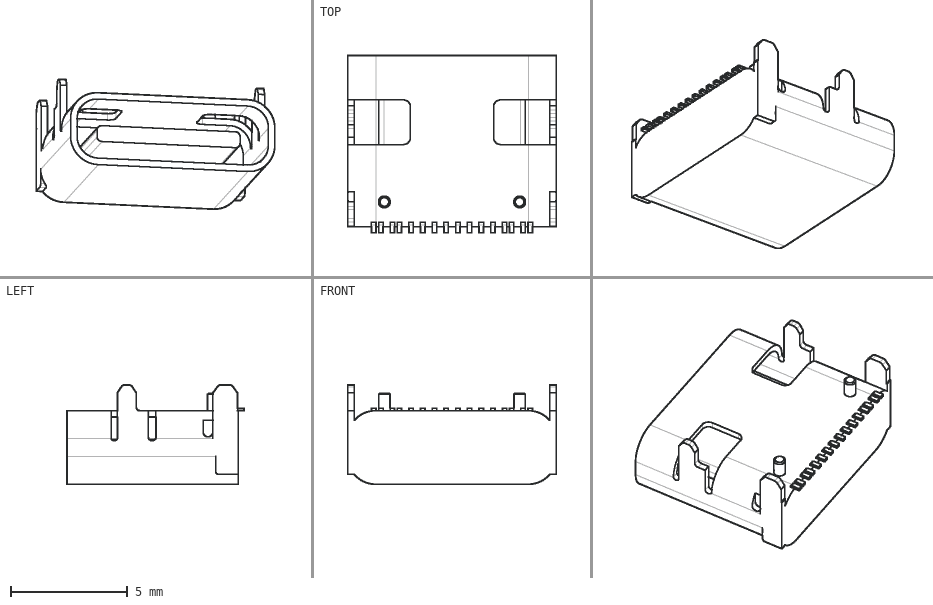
import cadquery as cq
import math


shell_width = 8.94
shell_height = 3.165
shell_depth = 7.35
corner_radius = 1.2
wall = 0.29
mid_height = shell_height / 2
half_width = shell_width / 2
cavity_depth = 5.36

tongue_width = 6.26
tongue_thickness = 0.7
tongue_edge_radius = 0.21
tongue_recess = 0.89

tab_height = shell_height + 1.1
tab_chamfer_height = 0.34
tab_crown_radius = 0.18

rear_tab_depth = 1.09
rear_tab_foot_depth = 0.97
rear_tab_foot_z = 0.43
rear_tab_foot_radius = 0.13
rear_tab_setback = 0.04
rear_tab_chamfer = 0.25
relief_width = 0.42
relief_bottom_z = shell_height - 1.13

window_rear_y = 3.53
window_front_y = 5.44
window_inner_x = 1.78
window_corner_radius = 0.3
window_slot_bottom_z = shell_height - 1.3
middle_tab_front_y = 5.185
middle_tab_depth = 0.81
middle_tab_chamfer = 0.22
shoulder_rear_y = 3.85
shoulder_radius = 0.15

peg_radius = 0.25
peg_height = 0.75
peg_chamfer = 0.06
peg_x = 2.9
peg_y = 1.07

tail_width = 0.2
tail_thickness = 0.11
tail_overhang = 0.25
tail_inset = 0.2
tail_bend_radius = 0.1
tail_pitch = 0.5
single_tail_count = 4
paired_tail_centers = (2.405, 3.2)
paired_tail_offset = 0.15


def rounded_bar(width, height, radius, start_y, end_y):
    """Bar along Y, centred on the shell axis, with its four long edges rounded."""
    bar = cq.Workplane("XY").box(width, end_y - start_y, height)
    bar = bar.edges("|Y").fillet(radius)
    return bar.translate((0, (start_y + end_y) / 2, mid_height))


def both_sides(right_half):
    """The given +X feature together with its mirror image on the -X side."""
    return right_half.union(right_half.mirror("YZ"))


def side_plate(outline):
    """Plate of wall thickness inside the +X side, from an outline in Y and Z."""
    return outline.close().extrude(-wall)


def side_plane():
    """Sketch plane on the outer +X face, with Y across and Z up."""
    return cq.Workplane("YZ", origin=(half_width, 0, 0))


def add_crown(outline, rear_y, front_y, chamfer):
    """Continue an outline over a tab top, from its front edge to its rear edge."""
    slope = math.atan2(tab_chamfer_height, chamfer)
    half_slope = slope / 2
    tangent = tab_crown_radius * math.tan(half_slope)
    shoulder_z = tab_height - tab_chamfer_height
    blend_dy = tangent * math.cos(slope)
    blend_z = tab_height - tangent * math.sin(slope)
    arc_dy = tab_crown_radius * math.sin(half_slope)
    arc_z = tab_height - tab_crown_radius * (1 - math.cos(half_slope))
    front_top = front_y - chamfer
    rear_top = rear_y + chamfer
    return (
        outline.lineTo(front_y, shoulder_z)
        .lineTo(front_top + blend_dy, blend_z)
        .threePointArc((front_top - tangent + arc_dy, arc_z), (front_top - tangent, tab_height))
        .lineTo(rear_top + tangent, tab_height)
        .threePointArc((rear_top + tangent - arc_dy, arc_z), (rear_top - blend_dy, blend_z))
        .lineTo(rear_y, shoulder_z)
    )


def make_shell():
    """Rounded body, hollow from the mouth and solid behind the cavity."""
    body = rounded_bar(shell_width, shell_height, corner_radius, 0, shell_depth)
    cavity = rounded_bar(
        shell_width - 2 * wall,
        shell_height - 2 * wall,
        corner_radius - wall,
        shell_depth - cavity_depth,
        shell_depth,
    )
    return body.cut(cavity)


def make_tongue():
    return rounded_bar(
        tongue_width,
        tongue_thickness,
        tongue_edge_radius,
        shell_depth - cavity_depth,
        shell_depth - tongue_recess,
    )


def make_window_cutters():
    """Openings through the upper half of the shell, rounded at their inner corners."""
    opening = (
        cq.Workplane("XY", origin=(0, 0, mid_height))
        .moveTo(window_inner_x, window_rear_y)
        .lineTo(half_width, window_rear_y)
        .lineTo(half_width, window_front_y)
        .lineTo(window_inner_x, window_front_y)
        .close()
        .extrude(mid_height)
    )
    return both_sides(opening.edges("|Z and <X").fillet(window_corner_radius))


def make_middle_tabs():
    """Side walls inside the windows: a shouldered tab between two round-bottomed slots."""
    front_slot_radius = (window_front_y - middle_tab_front_y) / 2
    rear_slot_radius = (shoulder_rear_y - window_rear_y) / 2
    tab_rear_y = middle_tab_front_y - middle_tab_depth
    front_slot_z = window_slot_bottom_z + front_slot_radius
    rear_slot_z = window_slot_bottom_z + rear_slot_radius
    bend = shoulder_radius * (1 - math.sqrt(0.5))

    outline = (
        side_plane()
        .moveTo(window_rear_y, mid_height)
        .lineTo(window_front_y, mid_height)
        .lineTo(window_front_y, front_slot_z)
        .threePointArc(
            (window_front_y - front_slot_radius, window_slot_bottom_z),
            (middle_tab_front_y, front_slot_z),
        )
    )
    outline = add_crown(outline, tab_rear_y, middle_tab_front_y, middle_tab_chamfer)
    outline = (
        outline.lineTo(tab_rear_y, shell_height + shoulder_radius)
        .threePointArc(
            (tab_rear_y - bend, shell_height + bend),
            (tab_rear_y - shoulder_radius, shell_height),
        )
        .lineTo(shoulder_rear_y, shell_height)
        .lineTo(shoulder_rear_y, rear_slot_z)
        .threePointArc(
            (shoulder_rear_y - rear_slot_radius, window_slot_bottom_z),
            (window_rear_y, rear_slot_z),
        )
    )
    return both_sides(side_plate(outline))


def make_rear_tabs():
    bend = rear_tab_foot_radius * (1 - math.sqrt(0.5))
    outline = (
        side_plane()
        .moveTo(0, rear_tab_foot_z)
        .lineTo(rear_tab_foot_depth - rear_tab_foot_radius, rear_tab_foot_z)
        .threePointArc(
            (rear_tab_foot_depth - bend, rear_tab_foot_z + bend),
            (rear_tab_foot_depth, rear_tab_foot_z + rear_tab_foot_radius),
        )
        .lineTo(rear_tab_foot_depth, mid_height)
        .lineTo(rear_tab_depth, mid_height)
    )
    outline = add_crown(outline, rear_tab_setback, rear_tab_depth, rear_tab_chamfer)
    outline = outline.lineTo(rear_tab_setback, shell_height).lineTo(0, shell_height)
    return both_sides(side_plate(outline))


def make_relief_cutters():
    """Round-bottomed bend reliefs in the side walls, in front of the rear tabs."""
    radius = relief_width / 2
    front_y = rear_tab_depth + relief_width
    outline = (
        side_plane()
        .moveTo(rear_tab_depth, shell_height)
        .lineTo(rear_tab_depth, relief_bottom_z + radius)
        .threePointArc(
            (rear_tab_depth + radius, relief_bottom_z),
            (front_y, relief_bottom_z + radius),
        )
        .lineTo(front_y, shell_height)
    )
    return both_sides(side_plate(outline))


def make_pegs():
    return (
        cq.Workplane("XY", origin=(0, 0, shell_height))
        .pushPoints([(-peg_x, peg_y), (peg_x, peg_y)])
        .circle(peg_radius)
        .extrude(peg_height)
        .faces(">Z")
        .chamfer(peg_chamfer)
    )


def make_tails():
    """Row of contact tails: evenly spaced in the middle, in close pairs at both ends."""
    centers = [(i + 0.5) * tail_pitch for i in range(single_tail_count)]
    for pair_x in paired_tail_centers:
        centers += [pair_x - paired_tail_offset, pair_x + paired_tail_offset]
    points = [(side * x, (tail_inset - tail_overhang) / 2) for x in centers for side in (-1, 1)]
    return (
        cq.Workplane("XY", origin=(0, 0, shell_height + tail_thickness / 2))
        .pushPoints(points)
        .box(tail_width, tail_inset + tail_overhang, tail_thickness)
        .faces(">Y")
        .edges(">Z")
        .fillet(tail_bend_radius)
    )


shell = make_shell().cut(make_relief_cutters()).cut(make_window_cutters())
result = (
    shell.union(make_tongue())
    .union(make_middle_tabs())
    .union(make_rear_tabs())
    .union(make_pegs())
    .union(make_tails())
)